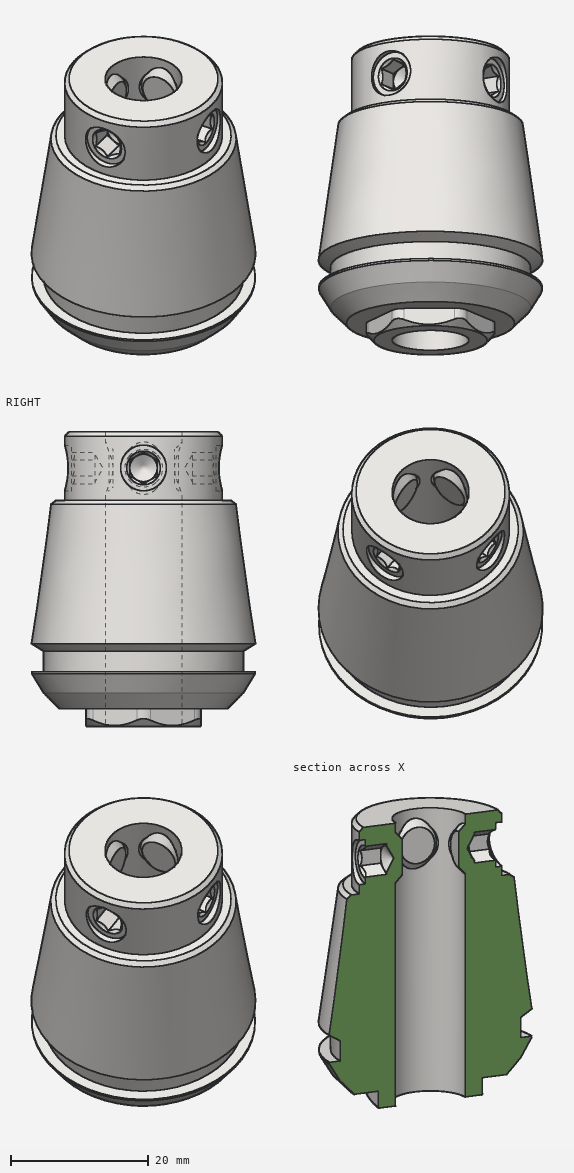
import cadquery as cq
import math

TOTAL_HEIGHT = 43.0
BORE_DIAMETER = 11.2

COLLAR_DIAMETER = 23.0
COLLAR_HEIGHT = 10.0
COLLAR_CHAMFER = 0.65

BODY_TOP_DIAMETER = 27.0
BODY_BASE_DIAMETER = 32.72
BODY_BASE_Z = 12.1
BODY_CHAMFER_WIDTH = 0.75
BODY_CHAMFER_HEIGHT = 0.55

GROOVE_DIAMETER = 29.2
GROOVE_TOP_Z = 11.0
GROOVE_BOTTOM_Z = 8.0

FLANGE_DIAMETER = 32.6
FLANGE_RIM_HEIGHT = 0.3
FLANGE_KNEE_DIAMETER = 29.2
FLANGE_KNEE_Z = 4.95
FLANGE_BASE_DIAMETER = 24.5
FLANGE_BASE_Z = 2.6

NUT_ACROSS_FLATS = 16.8
NUT_CORNER_RADIUS = 2.0
NUT_FACE_DIAMETER = 16.5

SCREW_COUNT = 4
SCREW_DEPTH_BELOW_TOP = 5.3
SCREW_Z = TOTAL_HEIGHT - SCREW_DEPTH_BELOW_TOP
SCREW_HOLE_DIAMETER = 6.65
SCREW_DIAMETER = 8.0
SCREW_OUTER_DISTANCE = 10.55
SCREW_TIP_DISTANCE = 4.5
SCREW_TIP_DIAMETER = 5.5
SOCKET_ACROSS_FLATS = 4.0
SOCKET_DEPTH = 3.45
SOCKET_CHAMFER_DIAMETER = 4.9
SOCKET_TIP_ANGLE = 120.0


def hexagon_corner_diameter(across_flats):
    return across_flats / math.cos(math.radians(30))


def turned_body():
    """Collar, tapered body, groove and flange, revolved about Z."""
    collar_radius = COLLAR_DIAMETER / 2
    body_top_radius = BODY_TOP_DIAMETER / 2
    shoulder_z = TOTAL_HEIGHT - COLLAR_HEIGHT
    profile = [
        (0, FLANGE_BASE_Z),
        (FLANGE_BASE_DIAMETER / 2, FLANGE_BASE_Z),
        (FLANGE_KNEE_DIAMETER / 2, FLANGE_KNEE_Z),
        (FLANGE_DIAMETER / 2, GROOVE_BOTTOM_Z - FLANGE_RIM_HEIGHT),
        (FLANGE_DIAMETER / 2, GROOVE_BOTTOM_Z),
        (GROOVE_DIAMETER / 2, GROOVE_BOTTOM_Z),
        (GROOVE_DIAMETER / 2, GROOVE_TOP_Z),
        (BODY_BASE_DIAMETER / 2, BODY_BASE_Z),
        (body_top_radius, shoulder_z - BODY_CHAMFER_HEIGHT),
        (body_top_radius - BODY_CHAMFER_WIDTH, shoulder_z),
        (collar_radius, shoulder_z),
        (collar_radius, TOTAL_HEIGHT - COLLAR_CHAMFER),
        (collar_radius - COLLAR_CHAMFER, TOTAL_HEIGHT),
        (0, TOTAL_HEIGHT),
    ]
    return cq.Workplane("XZ").polyline(profile).close().revolve(360, (0, 0), (0, 1))


def bottom_nut():
    """Rounded hexagon with corners on the X axis and a 45-degree chamfer cone at its lower face."""
    corner_diameter = hexagon_corner_diameter(NUT_ACROSS_FLATS)
    prism = (
        cq.Workplane("XY")
        .polygon(6, corner_diameter)
        .extrude(FLANGE_BASE_Z)
        .edges("|Z")
        .fillet(NUT_CORNER_RADIUS)
    )
    face_radius = NUT_FACE_DIAMETER / 2
    cone = (
        cq.Workplane("XZ")
        .polyline([
            (0, 0),
            (face_radius, 0),
            (face_radius + FLANGE_BASE_Z, FLANGE_BASE_Z),
            (0, FLANGE_BASE_Z),
        ])
        .close()
        .revolve(360, (0, 0), (0, 1))
    )
    return prism.intersect(cone)


def around_collar(shape):
    """Copies of a shape on the +X axis, spaced evenly about Z at the screw height."""
    raised = shape.translate((0, 0, SCREW_Z))
    copies = cq.Workplane("XY")
    for i in range(SCREW_COUNT):
        copies = copies.add(raised.rotate((0, 0, 0), (0, 0, 1), i * 360 / SCREW_COUNT))
    return copies.combine()


def screw_hole():
    """Radial hole from the bore axis outward along +X."""
    return cq.Workplane("YZ").circle(SCREW_HOLE_DIAMETER / 2).extrude(COLLAR_DIAMETER / 2)


def screw_socket():
    """Hexagonal socket with a chamfered mouth and a drilled conical bottom."""
    corner_diameter = hexagon_corner_diameter(SOCKET_ACROSS_FLATS)
    floor = SCREW_OUTER_DISTANCE - SOCKET_DEPTH
    hexagon = (
        cq.Workplane("YZ")
        .workplane(offset=floor)
        .transformed(rotate=(0, 0, 90))
        .polygon(6, corner_diameter)
        .extrude(SOCKET_DEPTH)
    )
    drill_radius = SOCKET_ACROSS_FLATS / 2
    mouth_radius = SOCKET_CHAMFER_DIAMETER / 2
    tip_depth = drill_radius / math.tan(math.radians(SOCKET_TIP_ANGLE / 2))
    turned_cut = (
        cq.Workplane("XY")
        .polyline([
            (floor - tip_depth, 0),
            (floor, drill_radius),
            (SCREW_OUTER_DISTANCE - (mouth_radius - drill_radius), drill_radius),
            (SCREW_OUTER_DISTANCE, mouth_radius),
            (SCREW_OUTER_DISTANCE, 0),
        ])
        .close()
        .revolve(360, (0, 0), (1, 0))
    )
    return hexagon.union(turned_cut)


def set_screw():
    """Headless screw on the +X axis, its chamfered flat tip reaching into the bore."""
    radius = SCREW_DIAMETER / 2
    tip_radius = SCREW_TIP_DIAMETER / 2
    blank = (
        cq.Workplane("XY")
        .polyline([
            (SCREW_TIP_DISTANCE, 0),
            (SCREW_TIP_DISTANCE, tip_radius),
            (SCREW_TIP_DISTANCE + radius - tip_radius, radius),
            (SCREW_OUTER_DISTANCE, radius),
            (SCREW_OUTER_DISTANCE, 0),
        ])
        .close()
        .revolve(360, (0, 0), (1, 0))
    )
    return blank.cut(screw_socket())


bore = cq.Workplane("XY").circle(BORE_DIAMETER / 2).extrude(TOTAL_HEIGHT)

result = turned_body().union(bottom_nut()).cut(bore)
result = result.cut(around_collar(screw_hole()))
result = result.union(around_collar(set_screw()))